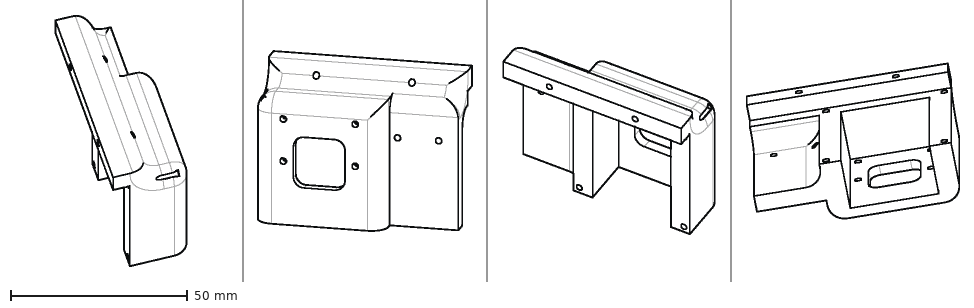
import cadquery as cq
import math

length = 58.0
depth = 23.0
height = 44.0
edge_radius = 5.0
flange_depth = 5.0
flange_height = 6.05
wall_thickness = 5.0
wall_back = 16.5
box_left = 20.0
shoulder = height - flange_height

pocket_top = 33.75
wide_pocket_left = 26.3
wide_pocket_width = 25.5
window_wall = 3.0
wide_pocket_center = wide_pocket_left + wide_pocket_width / 2

window_size = 15.0
window_radius = 3.0
window_z = 18.9
hole_diameter = 1.8
screw_depth = 15.0
screw_margin = 2.0
flange_hole_inset = 15.0
flange_hole_z = height - flange_height / 2
left_hole_first_x = 5.75
left_hole_spacing = 12.0
left_hole_z = 26.2
camera_hole_spacing_x = 21.0
camera_hole_low_z = 18.9
camera_hole_spacing_z = 12.5

hollow_y = flange_depth + 2 * edge_radius
hollow_z = shoulder + edge_radius
crest_z = height - edge_radius
crest_y = hollow_y - math.sqrt((2 * edge_radius) ** 2 - (hollow_z - crest_z) ** 2)
back_arc_y = wall_back - edge_radius
back_arc_z = hollow_z - math.sqrt((2 * edge_radius) ** 2 - (hollow_y - back_arc_y) ** 2)


def box(x0, x1, y0, y1, z0, z1):
    return cq.Workplane("XY").box(x1 - x0, y1 - y0, z1 - z0, centered=False).translate((x0, y0, z0))


def rod_x(y, z, x1):
    """Cylinder of the edge radius along X, from the left end to x1."""
    return cq.Workplane("YZ").center(y, z).circle(edge_radius).extrude(x1)


def main_body():
    """Flange, wall slab and deep box, with a rounded crest along the top."""
    flange = box(0, length, 0, crest_y, shoulder, height)
    wall = box(0, length, flange_depth, wall_back, 0, height)
    crest_waste = box(0, length, crest_y, hollow_y, crest_z, height).cut(rod_x(crest_y, crest_z, length))
    contact_z = (crest_z + hollow_z) / 2
    crest_waste = crest_waste.intersect(box(0, length, 0, wall_back, contact_z, height))
    deep_box = box(box_left, length, flange_depth, depth, 0, shoulder)
    return flange.union(wall).cut(crest_waste).union(deep_box)


def hollow_profile(far_radius):
    """Half section of the hollow, flaring outward by the edge radius at both ends."""
    flared = 2 * edge_radius
    bend = edge_radius * math.sqrt(0.5)
    return (
        cq.Workplane("XY")
        .moveTo(0, far_radius)
        .lineTo(0, -flared)
        .threePointArc((edge_radius - bend, -flared + bend), (edge_radius, -edge_radius))
        .lineTo(length - edge_radius, -edge_radius)
        .threePointArc((length - edge_radius + bend, -flared + bend), (length, -flared))
        .lineTo(length, far_radius)
        .close()
    )


def hollow():
    """Round trough behind the crest, running on straight to the back of the box."""
    trough = hollow_profile(0).revolve(360, (0, 0, 0), (1, 0, 0)).translate((0, hollow_y, hollow_z))
    run = hollow_profile(edge_radius).extrude(depth - hollow_y)
    run = run.rotate((0, 0, 0), (1, 0, 0), 90).translate((0, depth, hollow_z))
    return trough.union(run)


def left_wall_rounding():
    """Waste above the rounded top back edge of the thin left wall."""
    contact_y = (back_arc_y + hollow_y) / 2
    corner = box(0, box_left, contact_y, wall_back, back_arc_z, height)
    return corner.cut(rod_x(back_arc_y, back_arc_z, box_left))


def rounded_back(body):
    """Round the back edges of the deep box: both upright edges and the top one."""
    return body.faces(">Y").edges("not <Z").fillet(edge_radius)


def left_pocket():
    """Pocket open to the left and bottom, with a hollow fillet round its floor."""
    overrun = edge_radius
    pocket = box(-overrun, box_left, 0, wall_back - wall_thickness, -overrun, pocket_top)
    pocket = pocket.edges("(>Y and >Z) or (>Y and >X)").fillet(edge_radius)
    return pocket.intersect(box(0, length, flange_depth, depth, 0, height))


def wide_pocket():
    right = wide_pocket_left + wide_pocket_width
    return box(wide_pocket_left, right, flange_depth, depth - window_wall, 0, pocket_top)


def window():
    block = cq.Workplane("XY").box(window_size, depth, window_size).edges("|Y").fillet(window_radius)
    return block.translate((wide_pocket_center, depth / 2, window_z))


def holes(points, y0, hole_length):
    """Holes along +Y at the given (X, Z) points, starting at y0."""
    plane = cq.Workplane("XZ", origin=(0, y0, 0))
    return plane.pushPoints(points).circle(hole_diameter / 2).extrude(-hole_length)


flange_holes = [(x, flange_hole_z) for x in (flange_hole_inset, length - flange_hole_inset)]
left_holes = [(left_hole_first_x + i * left_hole_spacing, left_hole_z) for i in range(2)]
camera_holes = [
    (wide_pocket_center + side * camera_hole_spacing_x / 2, camera_hole_low_z + row * camera_hole_spacing_z)
    for side in (-1, 1)
    for row in range(2)
]
screw_holes = [
    (x, z)
    for x in (box_left + screw_margin, length - screw_margin)
    for z in (screw_margin, shoulder - screw_margin)
]

result = rounded_back(main_body().cut(hollow()).cut(left_wall_rounding()))
result = result.cut(left_pocket()).cut(wide_pocket()).cut(window())
result = result.cut(holes(flange_holes + left_holes + camera_holes, 0, depth))
result = result.cut(holes(screw_holes, flange_depth, screw_depth))